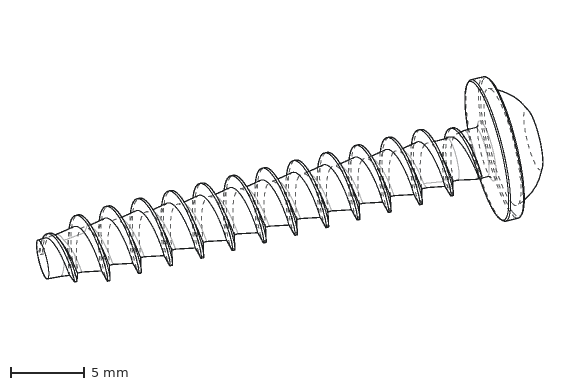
import cadquery as cq
import math

total_length = 35.3
head_height = 3.35
tip_y = head_height - total_length

flange_radius = 10.0 / 2
flange_thickness = 1.13
flange_edge_chamfer = 0.1
dome_base_radius = 4.13
dome_top_radius = 2.15
dome_bulge_radius = 3.42
dome_bulge_height = 1.27

neck_radius = 1.73
neck_length = 1.2
neck_fillet = 0.4
core_radius = 1.5
core_top_y = -2.47
tip_taper_length = 1.95
tip_radius = 1.38
seam_angle = 40.0

full_thread_length = 24.7
full_thread_turns = 11
pitch = full_thread_length / full_thread_turns
first_full_crest_y = -3.35
crest_radius = 2.5
crest_width = 0.18
thread_root_width = 0.65
root_high_radius = 1.73
root_low_radius = 1.45
inner_radius = 1.05
turn_gap = 0.07
lead_in_start = -1.3
full_end = full_thread_turns + 0.25
run_out_end = 12.6
lead_in_crest_radius = 1.62
run_out_crest_radius = 1.5
sections_per_turn = 12


def make_head_and_core():
    """Revolve the head, neck, core and tapered tip about the Y axis."""
    dome_base_y = flange_thickness
    fillet_mid = neck_fillet * (1 - math.sqrt(0.5))
    rim = flange_radius - flange_edge_chamfer
    outline = (
        cq.Workplane("XY")
        .moveTo(0, head_height)
        .lineTo(dome_top_radius, head_height)
        .threePointArc((dome_bulge_radius, dome_base_y + dome_bulge_height), (dome_base_radius, dome_base_y))
        .lineTo(rim, dome_base_y)
        .lineTo(flange_radius, dome_base_y - flange_edge_chamfer)
        .lineTo(flange_radius, flange_edge_chamfer)
        .lineTo(rim, 0)
        .lineTo(neck_radius + neck_fillet, 0)
        .threePointArc((neck_radius + fillet_mid, -fillet_mid), (neck_radius, -neck_fillet))
        .lineTo(neck_radius, -neck_length)
        .lineTo(core_radius, core_top_y)
        .lineTo(core_radius, tip_y + tip_taper_length)
        .lineTo(tip_radius, tip_y)
        .lineTo(0, tip_y)
        .close()
    )
    body = outline.revolve(360, (0, 0, 0), (0, 1, 0))
    return body.rotate((0, 0, 0), (0, 1, 0), seam_angle)


def crest_radius_at(turn):
    """Crest radius, rising over the first turns and sinking into the core at the tip."""
    if turn < 0:
        return crest_radius + (crest_radius - lead_in_crest_radius) * turn / -lead_in_start
    if turn > full_end:
        fraction = (turn - full_end) / (run_out_end - full_end)
        return crest_radius + (run_out_crest_radius - crest_radius) * fraction
    return crest_radius


def thread_section(turn):
    """Thread ridge plus the sloping root behind it, in the plane through the axis."""
    angle = 2 * math.pi * turn
    centre_y = first_full_crest_y - pitch * turn
    scale = (crest_radius_at(turn) - inner_radius) / (crest_radius - inner_radius)
    upper_y = thread_root_width / 2
    lower_y = upper_y - pitch + turn_gap
    profile = [
        (inner_radius, upper_y),
        (root_low_radius, upper_y),
        (crest_radius, crest_width / 2),
        (crest_radius, -crest_width / 2),
        (root_high_radius, -thread_root_width / 2),
        (root_low_radius, lower_y),
        (inner_radius, lower_y),
    ]
    points = []
    for radius, offset_y in profile:
        scaled = inner_radius + (radius - inner_radius) * scale
        points.append(cq.Vector(scaled * math.cos(angle), centre_y + offset_y, scaled * math.sin(angle)))
    return cq.Wire.makePolygon(points, close=True)


def make_thread(start, end):
    """Loft the thread sections along the helix between two turns."""
    count = math.ceil((end - start) * sections_per_turn)
    step = (end - start) / count
    sections = [thread_section(start + i * step) for i in range(count + 1)]
    return cq.Workplane(obj=cq.Solid.makeLoft(sections))


def make_screw():
    """Join the lead-in, full and run-out threads to the core and trim flush with the tip."""
    screw = make_head_and_core()
    for start, end in [(0, full_end), (lead_in_start, 0), (full_end, run_out_end)]:
        screw = screw.union(make_thread(start, end))
    below_tip = cq.Workplane("XZ", origin=(0, tip_y, 0)).circle(flange_radius).extrude(2 * pitch)
    return screw.cut(below_tip)


result = make_screw()